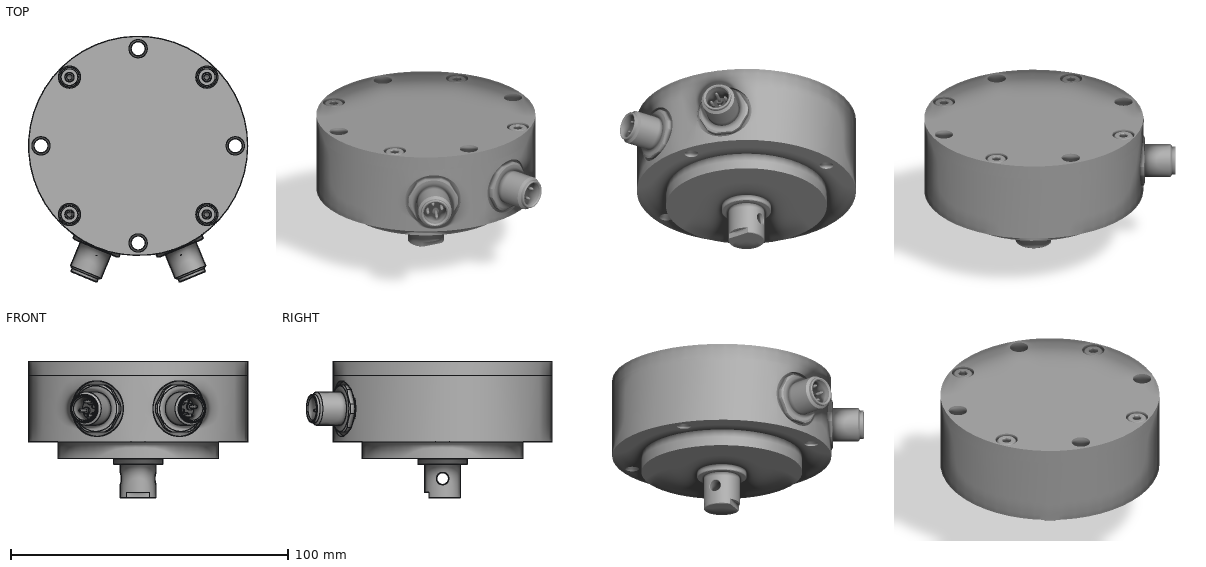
import cadquery as cq
import math


body_diameter = 79.0
flange_diameter = 58.0
flange_height = 6.0
housing_height = 24.0
cover_thickness = 5.0
housing_top = flange_height + housing_height
cover_top = housing_top + cover_thickness

bolt_circle_radius = 35.0
fixing_hole_diameter = 5.0
fixing_counterbore_diameter = 6.6
fixing_angles = [0, 90, 180, 270]

screw_angles = [45, 135, 225, 315]
screw_recess_diameter = 8.0
screw_head_diameter = 7.0
screw_head_height = 4.0
screw_head_bevel = 0.5
screw_head_sink = 0.3
screw_shank_diameter = 4.0
screw_shank_length = 10.0
socket_width = 3.0
socket_mouth_diameter = 3.4
socket_depth = 1.6
socket_drill_diameter = 2.0
socket_drill_half_angle = 59.0
screw_head_top = cover_top - screw_head_sink
screw_seat = screw_head_top - screw_head_height
screw_tip = screw_seat - screw_shank_length

collar_diameter = 17.8
collar_height = 2.2
shaft_diameter = 13.0
shaft_length = 12.0
shaft_bevel = 0.2
cross_hole_diameter = 4.2
cross_hole_bevel = 0.15
cross_hole_from_end = 7.0
end_step_height = 2.0
end_step_offset = 5.0
shaft_end = -(collar_height + shaft_length)

connector_tilts = [-22.5, 22.5]
connector_height = flange_height + housing_height / 2
spotface_diameter = 20.0
spotface_floor = 38.0
nut_width = 17.0
nut_corner_diameter = 18.0
nut_bevel = 0.3
nut_face = 40.0
barrel_radius = 6.0
barrel_end = 49.2
tip_radius = 5.1
tip_start = 49.9
tip_bevel = 0.2
connector_end = 51.15
bore_radius = 4.2
bore_depth = 8.9
bore_floor = connector_end - bore_depth
mouth_bevel = 0.4
pin_count = 4
pin_circle_radius = 2.6
pin_start_angle = 15.0
pin_radius = 0.55
pin_taper_inset = 0.25
pin_taper_length = 0.8
pin_sink = 2.0
pin_boss_radius = 1.2
pin_boss_height = 1.1


def disc(diameter, bottom, top):
    """Upright cylinder on the Z axis between two heights."""
    return cq.Workplane("XY").workplane(offset=bottom).circle(diameter / 2).extrude(top - bottom)


def upright_cone(bottom_radius, top_radius, bottom, top):
    """Cone on the Z axis between two heights."""
    base_point = cq.Vector(0, 0, bottom)
    return cq.Workplane(cq.Solid.makeCone(bottom_radius, top_radius, top - bottom, base_point))


def around_axis(shape, angles):
    """Copies of a shape on the bolt circle, one at each angle."""
    moved = shape.translate((bolt_circle_radius, 0, 0))
    return [moved.rotate((0, 0, 0), (0, 0, 1), angle) for angle in angles]


def place_connector(shape, tilt):
    """Turn a shape built along +Z so it points out of the housing near -Y."""
    return (
        shape.rotate((0, 0, 0), (1, 0, 0), 90)
        .rotate((0, 0, 0), (0, 0, 1), tilt)
        .translate((0, 0, connector_height))
    )


def make_screw():
    """Socket head screw standing on the Z axis at its working height."""
    head = disc(screw_head_diameter, screw_seat, screw_head_top).faces(">Z").chamfer(screw_head_bevel)
    shank = disc(screw_shank_diameter, screw_tip, screw_seat)

    corner_diameter = socket_width / math.cos(math.pi / 6)
    socket_floor = screw_head_top - socket_depth
    socket = (
        cq.Workplane("XY", origin=(0, 0, socket_floor))
        .polygon(6, corner_diameter)
        .extrude(socket_depth)
        .rotate((0, 0, 0), (0, 0, 1), 30)
    )
    drill_radius = socket_drill_diameter / 2
    drill_depth = drill_radius / math.tan(math.radians(socket_drill_half_angle))
    drill_tip = upright_cone(0, drill_radius, socket_floor - drill_depth, socket_floor)
    mouth_depth = (socket_mouth_diameter - socket_width) / 2
    mouth = upright_cone(
        socket_width / 2, socket_mouth_diameter / 2, screw_head_top - mouth_depth, screw_head_top
    )
    return head.union(shank).cut(socket).cut(drill_tip).cut(mouth)


def make_cover():
    cover = disc(body_diameter, housing_top, cover_top)
    fixing_hole = disc(fixing_counterbore_diameter, housing_top, cover_top)
    screw_hole = disc(screw_recess_diameter, screw_seat, cover_top).union(
        disc(screw_shank_diameter, housing_top, screw_seat)
    )
    for hole in around_axis(fixing_hole, fixing_angles) + around_axis(screw_hole, screw_angles):
        cover = cover.cut(hole)
    return cover


def make_housing():
    housing = disc(flange_diameter, 0, flange_height).union(
        disc(body_diameter, flange_height, housing_top)
    )
    fixing_hole = disc(fixing_hole_diameter, flange_height, housing_top)
    screw_hole = disc(screw_shank_diameter, screw_tip, housing_top)
    for hole in around_axis(fixing_hole, fixing_angles) + around_axis(screw_hole, screw_angles):
        housing = housing.cut(hole)
    for tilt in connector_tilts:
        spotface = disc(spotface_diameter, spotface_floor, body_diameter / 2)
        housing = housing.cut(place_connector(spotface, tilt))
    return housing


def make_shaft():
    collar = disc(collar_diameter, -collar_height, 0).edges().chamfer(shaft_bevel)
    journal = disc(shaft_diameter, shaft_end, -collar_height).faces("<Z").chamfer(shaft_bevel)
    cross_hole = (
        cq.Workplane("YZ", origin=(0, 0, shaft_end + cross_hole_from_end))
        .circle(cross_hole_diameter / 2)
        .extrude(shaft_diameter / 2, both=True)
    )
    end_step = cq.Workplane("XY").box(
        shaft_diameter, shaft_diameter, end_step_height, centered=(True, False, False)
    ).translate((0, -end_step_offset - shaft_diameter, shaft_end))
    journal = journal.cut(cross_hole).edges("%BSPLINE").chamfer(cross_hole_bevel)
    return collar.union(journal).cut(end_step)


def make_connector():
    """Male connector along +Z: hexagon, stepped barrel, open bore with pins."""
    nut_height = nut_face - spotface_floor
    hexagon = (
        cq.Workplane("XY", origin=(0, 0, spotface_floor))
        .polygon(6, nut_width / math.cos(math.pi / 6))
        .extrude(nut_height)
    )
    corner_trim = disc(nut_corner_diameter, spotface_floor, nut_face)
    bevel_inset = (nut_corner_diameter - nut_width) / 2 + nut_bevel
    corner_trim = corner_trim.faces(">Z").chamfer(nut_bevel, bevel_inset)
    nut = hexagon.intersect(corner_trim)

    barrel = (
        cq.Workplane("XZ")
        .moveTo(0, nut_face)
        .lineTo(barrel_radius, nut_face)
        .lineTo(barrel_radius, barrel_end)
        .lineTo(tip_radius, tip_start)
        .lineTo(tip_radius, connector_end - tip_bevel)
        .lineTo(tip_radius - tip_bevel, connector_end)
        .lineTo(bore_radius + mouth_bevel, connector_end)
        .lineTo(bore_radius, connector_end - mouth_bevel)
        .lineTo(bore_radius, bore_floor)
        .lineTo(0, bore_floor)
        .close()
        .revolve(360, (0, 0, 0), (0, 1, 0))
    )
    connector = nut.union(barrel)

    boss = disc(2 * pin_boss_radius, bore_floor, bore_floor + pin_boss_height)
    pin_tip = connector_end - pin_sink
    taper_start = pin_tip - pin_taper_length
    taper = upright_cone(pin_radius, pin_radius - pin_taper_inset, taper_start, pin_tip)
    pin = disc(2 * pin_radius, bore_floor, taper_start).union(taper)
    contact = boss.union(pin).translate((pin_circle_radius, 0, 0))
    for index in range(pin_count):
        angle = pin_start_angle + index * 360 / pin_count
        connector = connector.union(contact.rotate((0, 0, 0), (0, 0, 1), angle))
    return connector


cover = make_cover()
housing = make_housing()
shaft = make_shaft()
screws = around_axis(make_screw(), screw_angles)
connectors = [place_connector(make_connector(), tilt) for tilt in connector_tilts]

result = cq.Compound.makeCompound(
    [housing.val(), cover.val(), shaft.val()]
    + [screw.val() for screw in screws]
    + [connector.val() for connector in connectors]
)